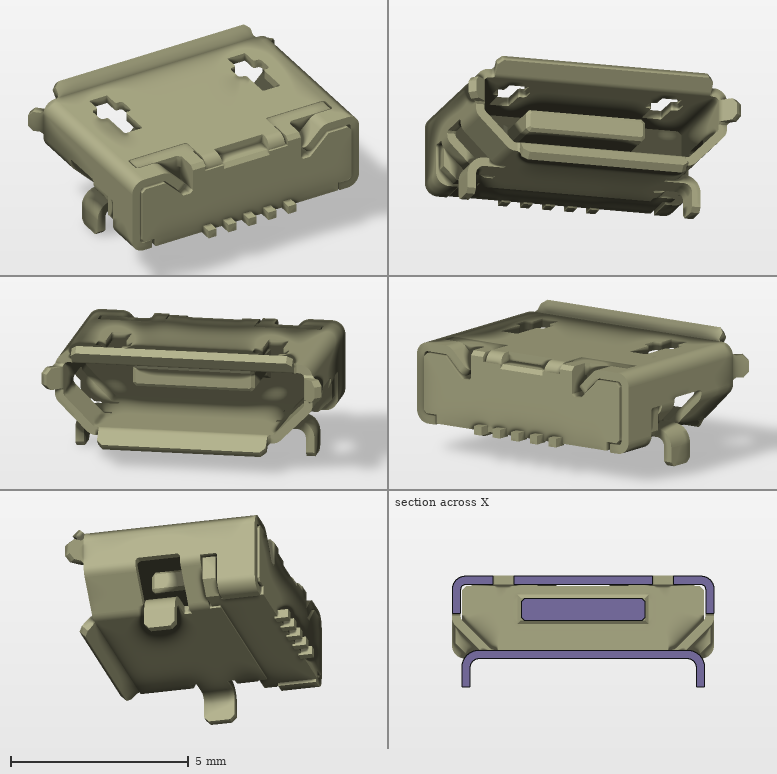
import cadquery as cq
import math

sheet = 0.25
bend_inner = 0.13
bend_outer = bend_inner + sheet
shell_length = 5.0
shell_half_width = 3.7
shell_height = 2.34
floor_half_width = 2.68
slope_end_x = 3.4
floor_end_x = 3.7
floor_tail_half_width = 2.56
rear_wall_x = 3.9
notch_top = 1.17
notch_radius = 0.065
curl_inner_y = 3.06

lip_rise = 0.32
lip_root_taper = 0.065
lip_tip_chamfer = 0.15
top_lip_half_width = 3.18
bottom_lip_half_width = 2.42
side_lip_half_width = 0.31
side_lip_z = 1.67

window_x = (1.51, 2.81)
window_top = 1.28
window_corner = 0.065
window_inner_y = 2.37
leg_x = (1.7, 2.59)
leg_bend_y = 2.94
leg_drop = 0.805
leg_tip_chamfer = 0.14

slot_x = (0.58, 2.585)
slot_y = 2.25
slot_half_width = 0.29
slot_corner = 0.06
bulge_x = (1.06, 1.62)
bulge_half_width = 0.5
bulge_tip_radius = 0.105
bulge_root_radius = 0.065

cutout_x = 3.88
cutout_y = (1.29, 3.21)
cutout_corner = 0.08
slant_tab_x = 4.39
slant_tab_root_y = 2.705
slant_tab_tip_y = 1.91
slant_tab_corner = 0.19
centre_cutout_x = 4.58
centre_cutout_half_width = 0.8
centre_cutout_draft = 0.06
rear_bend_outer = 0.31
rear_bend_x = shell_length - rear_bend_outer

housing_front = 3.45
housing_rear = 5.06
housing_half_width = 3.41
housing_top = 2.05
housing_bottom = 0.31
top_corner = 0.11
bottom_corner = 0.09
base_bottom = 0.06
base_half_width = 2.98
block_length = 0.38
block_half_width = 3.61
block_top = 1.11
block_slope_z = 0.44
filler_top = 2.32
rear_chamfer = 0.12
filler_end_y = 3.155
filler_gap = 0.06
stem_x = 4.33
stem_outer_y = 1.76
pocket_foot = 0.08
stem_corner = 0.105
pocket_floor_end_y = 2.07
pocket_slope_end_y = 2.665

tongue_tip_x = 1.46
tongue_half_width = 1.755
tongue_z = (1.08, 1.715)
tongue_chamfer = 0.1

contact_count = 5
contact_pitch = 0.65
contact_width = 0.26
contact_end_x = 5.38

overlap = 0.08

HALF_BEND = math.pi / 8
SIN45 = math.sqrt(0.5)
TAN_HALF_BEND = math.tan(HALF_BEND)


def box(x_range, y_range, z_range):
    size = [high - low for low, high in (x_range, y_range, z_range)]
    corner = (x_range[0], y_range[0], z_range[0])
    return cq.Workplane("XY").box(*size, centered=False).translate(corner)


def section(points, x_range):
    """Closed YZ outline extruded along X."""
    plane = cq.Workplane("YZ", origin=(x_range[0], 0, 0))
    return plane.polyline(points).close().extrude(x_range[1] - x_range[0])


def mirrored_section(right_points, x_range):
    """Section symmetric about y = 0, from the points of its +Y half listed top to bottom."""
    left_points = [(-y, z) for y, z in reversed(right_points)]
    return section(right_points + left_points, x_range)


def both_sides(solid):
    return solid.union(solid.mirror("XZ"))


def make_tube():
    slope_rise = shell_half_width - floor_half_width
    outer = [
        (shell_half_width, shell_height),
        (shell_half_width, slope_rise),
        (floor_half_width, 0),
    ]
    inner_half = shell_half_width - sheet
    slope_shift = sheet * TAN_HALF_BEND
    inner = [
        (inner_half, shell_height - sheet),
        (inner_half, slope_rise + slope_shift),
        (floor_half_width - slope_shift, sheet),
    ]
    length = (0, shell_length)
    solid = mirrored_section(outer, length).edges("|X").fillet(bend_outer)
    return solid.cut(mirrored_section(inner, length).edges("|X").fillet(bend_inner))


def make_rear_walls():
    """Side walls that reach the underside and curl inwards."""
    span = (floor_end_x, shell_length)
    outer_y = (-shell_half_width, shell_half_width)
    inner_y = (sheet - shell_half_width, shell_half_width - sheet)
    walls = box(span, outer_y, (0, shell_height)).edges("|X").fillet(bend_outer)
    hollow = box(span, inner_y, (sheet, shell_height - sheet)).edges("|X").fillet(bend_inner)
    middle = box(span, (-curl_inner_y, curl_inner_y), (0, shell_height))
    roof = box(span, outer_y, (notch_top + sheet, shell_height))
    return walls.cut(hollow).cut(middle).cut(roof)


def make_wall_notch():
    y_range = (floor_tail_half_width, shell_half_width + overlap)
    notch = box((slope_end_x, rear_wall_x), y_range, (-overlap, notch_top))
    return both_sides(notch.edges(">X and >Z").fillet(notch_radius))


def make_lip(half_width, angle, y, z):
    """45 degree lip on a wall; the angle about X turns the roof's lip to the other walls."""
    arc_middle = (-sheet * math.sin(HALF_BEND), -sheet * math.cos(HALF_BEND))
    offset = sheet * SIN45
    root_half = half_width + lip_root_taper
    lip = (
        cq.Workplane("XZ", origin=(0, root_half, 0))
        .moveTo(0, 0)
        .lineTo(0, -sheet)
        .threePointArc(arc_middle, (-offset, -offset))
        .lineTo(-offset - lip_rise, lip_rise - offset)
        .lineTo(-lip_rise, lip_rise)
        .close()
        .extrude(2 * root_half)
    )
    far_x = -2 * lip_rise
    plan = [
        (0, root_half),
        (-lip_root_taper, half_width),
        (far_x, half_width),
        (far_x, -half_width),
        (-lip_root_taper, -half_width),
        (0, -root_half),
    ]
    plan_prism = cq.Workplane("XY").workplane(offset=-2 * sheet).polyline(plan).close().extrude(4 * sheet)
    lip = lip.intersect(plan_prism)
    tip_face = cq.selectors.DirectionMinMaxSelector(cq.Vector(-1, 0, 1), True)
    lip = lip.faces(tip_face).edges("not |Y").chamfer(lip_tip_chamfer)
    return lip.rotate((0, 0, 0), (1, 0, 0), angle).translate((0, y, z))


def make_window():
    left, right = window_x
    shoulder = window_top - window_corner
    outline = [
        (left, -overlap),
        (left, shoulder),
        (left + window_corner, window_top),
        (right - window_corner, window_top),
        (right, shoulder),
        (right, -overlap),
    ]
    depth = shell_half_width + overlap - window_inner_y
    return both_sides(
        cq.Workplane("XZ", origin=(0, window_inner_y, 0)).polyline(outline).close().extrude(-depth)
    )


def make_leg():
    centre_z = -sheet
    outer_radius = 2 * sheet
    inner_radius = sheet
    root_y = window_inner_y - overlap

    def on_bend(radius):
        return (leg_bend_y + radius * SIN45, centre_z + radius * SIN45)

    leg = (
        cq.Workplane("YZ", origin=(leg_x[0], 0, 0))
        .moveTo(root_y, sheet)
        .lineTo(leg_bend_y, sheet)
        .threePointArc(on_bend(outer_radius), (leg_bend_y + outer_radius, centre_z))
        .lineTo(leg_bend_y + outer_radius, -leg_drop)
        .lineTo(leg_bend_y + inner_radius, -leg_drop)
        .lineTo(leg_bend_y + inner_radius, centre_z)
        .threePointArc(on_bend(inner_radius), (leg_bend_y, 0))
        .lineTo(root_y, 0)
        .close()
        .extrude(leg_x[1] - leg_x[0])
    )
    return both_sides(leg.faces("<Z").edges("|Y").chamfer(leg_tip_chamfer))


def make_roof_slot():
    roof_z = (shell_height - sheet - overlap, shell_height + overlap)
    slot = box(slot_x, (slot_y - slot_half_width, slot_y + slot_half_width), roof_z)
    slot = slot.edges("|Z and >X").fillet(slot_corner)
    bulge = box(bulge_x, (slot_y - bulge_half_width, slot_y + bulge_half_width), roof_z)
    slot = slot.union(bulge.edges("|Z").fillet(bulge_tip_radius))
    root_margin = bulge_root_radius / 2
    roots = cq.selectors.BoxSelector(
        (bulge_x[0] - bulge_root_radius, slot_y - slot_half_width - root_margin, 0),
        (bulge_x[1] + bulge_root_radius, slot_y + slot_half_width + root_margin, 2 * shell_height),
    )
    slot = slot.edges("|Z").edges(roots).fillet(bulge_root_radius)
    return both_sides(slot)


def make_centre_cutout():
    """Middle opening of the roof, narrowing downwards."""
    outline = [
        (centre_cutout_half_width, shell_height),
        (centre_cutout_half_width - centre_cutout_draft, shell_height - rear_bend_outer),
    ]
    return mirrored_section(outline, (centre_cutout_x, shell_length + overlap))


def make_rear_cutouts():
    roof_z = (shell_height - sheet - overlap, shell_height + overlap)
    rear = shell_length + overlap
    across = box((cutout_x, slant_tab_x), cutout_y, roof_z).edges("|Z").fillet(cutout_corner)
    along = box((slant_tab_x - cutout_corner, rear), (cutout_y[0], slant_tab_root_y), roof_z)
    opening = both_sides(across.union(along))
    bent = box((rear_bend_x, rear), (-cutout_y[0], cutout_y[0]), roof_z)
    return opening.union(bent).union(make_centre_cutout())


def make_slant_tab():
    """Roof tab bent 45 degrees down towards the middle."""
    centre_z = shell_height - bend_outer
    half_sin = math.sin(HALF_BEND)
    half_cos = math.cos(HALF_BEND)

    def on_bend(radius, sine, cosine):
        return (slant_tab_root_y - radius * sine, centre_z + radius * cosine)

    outer_end = on_bend(bend_outer, SIN45, SIN45)
    inner_end = on_bend(bend_inner, SIN45, SIN45)
    run = outer_end[0] - slant_tab_tip_y
    tab = (
        cq.Workplane("YZ", origin=(slant_tab_x, 0, 0))
        .moveTo(slant_tab_root_y, shell_height)
        .threePointArc(on_bend(bend_outer, half_sin, half_cos), outer_end)
        .lineTo(outer_end[0] - run, outer_end[1] - run)
        .lineTo(inner_end[0] - run, inner_end[1] - run)
        .lineTo(*inner_end)
        .threePointArc(on_bend(bend_inner, half_sin, half_cos), (slant_tab_root_y, centre_z + bend_inner))
        .close()
        .extrude(shell_length - slant_tab_x)
    )
    tip_face = cq.selectors.DirectionMinMaxSelector(cq.Vector(0, -1, -1), True)
    return both_sides(tab.faces(tip_face).edges("not |X").fillet(slant_tab_corner))


def make_rear_bend():
    """Narrow roof strips rolled down over the back edge."""
    centre_z = shell_height - rear_bend_outer
    inner_radius = rear_bend_outer - sheet

    def on_bend(radius):
        return (rear_bend_x + radius * SIN45, centre_z + radius * SIN45)

    bend = (
        cq.Workplane("XZ", origin=(0, cutout_y[0], 0))
        .moveTo(rear_bend_x, shell_height)
        .threePointArc(on_bend(rear_bend_outer), (shell_length, centre_z))
        .lineTo(rear_bend_x + inner_radius, centre_z)
        .threePointArc(on_bend(inner_radius), (rear_bend_x, centre_z + inner_radius))
        .close()
        .extrude(2 * cutout_y[0])
    )
    return bend.cut(make_centre_cutout())


def make_shell():
    rear = shell_length + overlap
    all_y = (-shell_half_width - overlap, shell_half_width + overlap)
    shell = make_tube().cut(box((floor_end_x, rear), all_y, (-overlap, notch_top + sheet)))
    shell = shell.union(make_rear_walls())
    for cutter in (make_wall_notch(), make_window(), make_roof_slot(), make_rear_cutouts()):
        shell = shell.cut(cutter)
    additions = (
        make_lip(top_lip_half_width, 0, 0, shell_height),
        make_lip(bottom_lip_half_width, 180, 0, 0),
        make_lip(side_lip_half_width, -90, shell_half_width, side_lip_z),
        make_lip(side_lip_half_width, 90, -shell_half_width, side_lip_z),
        make_leg(),
        make_slant_tab(),
        make_rear_bend(),
    )
    for addition in additions:
        shell = shell.union(addition)
    return shell


def make_tongue():
    width = 2 * tongue_half_width
    height = tongue_z[1] - tongue_z[0]
    middle_z = sum(tongue_z) / 2
    bar = box((tongue_tip_x, housing_front + overlap), (-tongue_half_width, tongue_half_width), tongue_z)
    bar = bar.edges("|X").chamfer(tongue_chamfer).faces("<X").chamfer(tongue_chamfer)
    flare = (
        cq.Workplane("YZ", origin=(housing_front - tongue_chamfer, 0, middle_z))
        .rect(width, height)
        .workplane(offset=tongue_chamfer)
        .rect(width + 2 * tongue_chamfer, height + 2 * tongue_chamfer)
        .loft(ruled=True)
    )
    return bar.union(flare)


def make_fillers():
    """Raised plastic that fills the outer openings in the roof."""
    z_range = (housing_top - overlap, filler_top)
    bar = box((cutout_x, stem_x), (cutout_y[0], filler_end_y), z_range)
    stem = box((stem_x - overlap, housing_rear), (cutout_y[0] + filler_gap, stem_outer_y), z_range)
    stem = stem.edges(">X and >Z").chamfer(rear_chamfer)
    corner = (
        cq.Workplane("XY", origin=(stem_x, stem_outer_y, z_range[0]))
        .polyline([(0, 0), (stem_corner, 0), (0, stem_corner)])
        .close()
        .extrude(z_range[1] - z_range[0])
    )
    return both_sides(bar.union(stem).union(corner))


def make_tab_pocket():
    """Recess below a slant tab, open to the back, with a bevelled foot along the stem."""
    floor_z = housing_top - (pocket_slope_end_y - pocket_floor_end_y)
    outline = [
        (stem_outer_y, filler_top),
        (stem_outer_y, floor_z + pocket_foot),
        (stem_outer_y + pocket_foot, floor_z),
        (pocket_floor_end_y, floor_z),
        (pocket_slope_end_y, housing_top),
        (pocket_slope_end_y, filler_top),
    ]
    return both_sides(section(outline, (stem_x, housing_rear + overlap)))


def make_rear_bevel():
    """Bevel along the middle of the housing's top rear edge."""
    half = centre_cutout_half_width - centre_cutout_draft
    return (
        cq.Workplane("XZ", origin=(housing_rear, half, housing_top))
        .polyline([(0, 0), (-rear_chamfer, 0), (0, -rear_chamfer)])
        .close()
        .extrude(2 * half)
    )


def make_housing():
    length = (housing_front, housing_rear)
    body = mirrored_section(
        [
            (housing_half_width - top_corner, housing_top),
            (housing_half_width, housing_top - top_corner),
            (housing_half_width, housing_bottom + bottom_corner),
            (housing_half_width - bottom_corner, housing_bottom),
        ],
        length,
    )
    base = box(length, (-base_half_width, base_half_width), (base_bottom, housing_bottom + overlap))
    block_slope = block_slope_z - base_bottom
    block = mirrored_section(
        [
            (block_half_width, block_top),
            (block_half_width, block_slope_z),
            (block_half_width - block_slope, base_bottom),
        ],
        (housing_front, housing_front + block_length),
    )
    housing = body.union(base).union(block).cut(make_tab_pocket()).cut(make_rear_bevel())
    return housing.union(make_fillers()).union(make_tongue())


def make_contacts():
    tail = box((housing_rear - overlap, contact_end_x), (-contact_width / 2, contact_width / 2), (0, sheet))
    contacts = cq.Workplane("XY")
    for index in range(contact_count):
        y = (index - (contact_count - 1) / 2) * contact_pitch
        contacts = contacts.add(tail.translate((0, y, 0)))
    return contacts.combine()


result = make_shell().union(make_housing())
result = result.union(make_contacts())